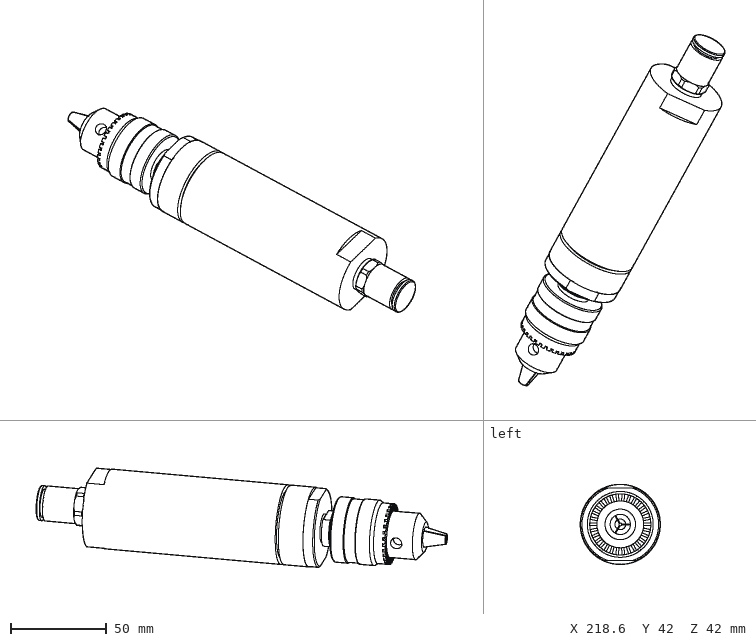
import cadquery as cq
import math


overall_length = 218.55

chuck_nose_x = 11.4
chuck_body_x = 15.3
gear_ring_x = 29.2
sleeve_taper_x = 35.3
sleeve_x = 37.2
band_start_x = 44.8
band_end_x = 51.4
chuck_back_x = 58.7
nut_x = 60.9
nut_back_x = 64.8
front_flange_x = 66.2
housing_x = 72.1
groove_start_x = 85.3
groove_end_x = 87.0
rear_flange_x = 181.6
housing_back_x = 190.8
hex_x = 193.0
hex_back_x = 198.2
release_groove_x = 215.0
release_collar_x = 216.7

jaw_tip_diameter = 5.6
jaw_root_diameter = 10.6
chuck_nose_diameter = 16.0
chuck_body_diameter = 24.5
gear_ring_diameter = 32.0
sleeve_diameter = 34.5
band_diameter = 33.5
sleeve_edge = 0.7
band_bevel = 0.4

jaw_count = 3
jaw_gap_width = 0.4
jaw_bore_diameter = 1.5
key_hole_diameter = 6.0
key_hole_x = 24.0
key_hole_depth = 6.0
tooth_count = 30
tooth_gap_overrun = 1.0
tooth_gap_width = 1.3
tooth_gap_length = 1.4

spindle_collar_diameter = 18.0
nut_diameter = 19.8
nut_across_flats = 15.0
spindle_neck_diameter = 14.95

housing_diameter = 42.0
housing_groove_diameter = 36.0
front_flange_diameter = 41.5
front_flange_across_flats = 38.0
front_flange_chamfer = 0.7
rear_across_flats = 36.0

fitting_diameter = 18.5
fitting_neck_diameter = 18.0
hex_across_flats = 18.5
hex_corner_diameter = 20.2
hex_chamfer = 0.7
release_groove_diameter = 14.95
release_chamfer = 0.5


def cylinder(start_x, end_x, diameter):
    """Solid cylinder on the X axis between two stations."""
    return cq.Workplane("YZ", origin=(start_x, 0, 0)).circle(diameter / 2).extrude(end_x - start_x)


def revolved(stations):
    """Solid of revolution about the X axis from (x, diameter) stations."""
    outline = [(x, diameter / 2) for x, diameter in stations]
    first_x = stations[0][0]
    last_x = stations[-1][0]
    return (
        cq.Workplane("XY")
        .polyline([(first_x, 0)] + outline + [(last_x, 0)])
        .close()
        .revolve(360, (0, 0, 0), (1, 0, 0))
    )


def two_flats(solid, start_x, end_x, across_flats):
    """Trim a solid to a pair of flats facing +Z and -Z."""
    length = end_x - start_x
    slab = cq.Workplane("XY").box(length, 2 * housing_diameter, across_flats)
    return solid.intersect(slab.translate(((start_x + end_x) / 2, 0, 0)))


def jaws():
    """Tapered jaw tips parted by thin radial gaps around a small bore."""
    cone = revolved([(0, jaw_tip_diameter), (chuck_nose_x, jaw_root_diameter)])
    cone = cone.cut(cylinder(0, chuck_nose_x, jaw_bore_diameter))
    gap = (
        cq.Workplane("XY")
        .box(chuck_nose_x, jaw_root_diameter, jaw_gap_width)
        .translate((chuck_nose_x / 2, -jaw_root_diameter / 2, 0))
    )
    for index in range(jaw_count):
        cone = cone.cut(gap.rotate((0, 0, 0), (1, 0, 0), index * 360 / jaw_count))
    return cone


def chuck_body():
    """Chuck body, gear ring and gripping sleeve as one turned profile."""
    return revolved([
        (chuck_nose_x, chuck_nose_diameter),
        (chuck_body_x, chuck_body_diameter),
        (gear_ring_x, chuck_body_diameter),
        (gear_ring_x, gear_ring_diameter),
        (sleeve_taper_x, gear_ring_diameter),
        (sleeve_x, sleeve_diameter),
        (band_start_x, sleeve_diameter),
        (band_start_x + band_bevel, band_diameter),
        (band_end_x - band_bevel, band_diameter),
        (band_end_x, sleeve_diameter),
        (chuck_back_x - sleeve_edge, sleeve_diameter),
        (chuck_back_x, sleeve_diameter - 2 * sleeve_edge),
    ])


def key_holes():
    """Radial key holes, each placed opposite a jaw gap."""
    body_radius = chuck_body_diameter / 2
    hole = (
        cq.Workplane("XZ", origin=(key_hole_x, body_radius, 0))
        .circle(key_hole_diameter / 2)
        .extrude(key_hole_depth)
    )
    holes = cq.Workplane("XY")
    for index in range(jaw_count):
        holes = holes.add(hole.rotate((0, 0, 0), (1, 0, 0), index * 360 / jaw_count))
    return holes.combine()


def tooth_gaps():
    """Radial gaps between the teeth on the front face of the gear ring."""
    inner_radius = chuck_body_diameter / 2
    gap_height = gear_ring_diameter / 2 - inner_radius + tooth_gap_overrun
    gap = (
        cq.Workplane("XY")
        .box(tooth_gap_length, tooth_gap_width, gap_height)
        .translate((gear_ring_x + tooth_gap_length / 2, 0, inner_radius + gap_height / 2))
    )
    gaps = cq.Workplane("XY")
    for index in range(tooth_count):
        gaps = gaps.add(gap.rotate((0, 0, 0), (1, 0, 0), (index + 0.5) * 360 / tooth_count))
    return cq.Workplane(cq.Compound.makeCompound(gaps.vals()))


def chuck():
    return chuck_body().cut(key_holes()).cut(tooth_gaps()).union(jaws())


def spindle():
    """Collar, two-flat nut and neck joining the chuck to the housing."""
    collar = cylinder(chuck_back_x, nut_x, spindle_collar_diameter)
    nut = two_flats(cylinder(nut_x, nut_back_x, nut_diameter), nut_x, nut_back_x, nut_across_flats)
    neck = cylinder(nut_back_x, front_flange_x, spindle_neck_diameter)
    return collar.union(nut).union(neck)


def housing():
    """Grooved motor housing with two flats on each end flange."""
    front = cylinder(front_flange_x, housing_x, front_flange_diameter)
    front = front.faces("<X").chamfer(front_flange_chamfer)
    front = two_flats(front, front_flange_x, housing_x, front_flange_across_flats)
    barrel = revolved([
        (housing_x, housing_diameter),
        (groove_start_x, housing_diameter),
        (groove_start_x, housing_groove_diameter),
        (groove_end_x, housing_groove_diameter),
        (groove_end_x, housing_diameter),
        (rear_flange_x, housing_diameter),
    ])
    rear = cylinder(rear_flange_x, housing_back_x, housing_diameter)
    rear = two_flats(rear, rear_flange_x, housing_back_x, rear_across_flats)
    return front.union(barrel).union(rear)


def fitting():
    """Hose fitting: neck, hexagon with blunted corners, barrel and release collar."""
    neck = cylinder(housing_back_x, hex_x, fitting_neck_diameter)
    hexagon = (
        cq.Workplane("YZ", origin=(hex_x, 0, 0))
        .polygon(6, hex_across_flats / math.cos(math.pi / 6))
        .extrude(hex_back_x - hex_x)
    )
    blank = cylinder(hex_x, hex_back_x, hex_corner_diameter).faces("<X or >X").chamfer(hex_chamfer)
    barrel = revolved([
        (hex_back_x, fitting_diameter),
        (release_groove_x, fitting_diameter),
        (release_groove_x, release_groove_diameter),
        (release_collar_x, release_groove_diameter),
        (release_collar_x, fitting_diameter),
        (overall_length - release_chamfer, fitting_diameter),
        (overall_length, fitting_diameter - 2 * release_chamfer),
    ])
    return neck.union(hexagon.intersect(blank)).union(barrel)


result = chuck().union(spindle()).union(housing()).union(fitting())